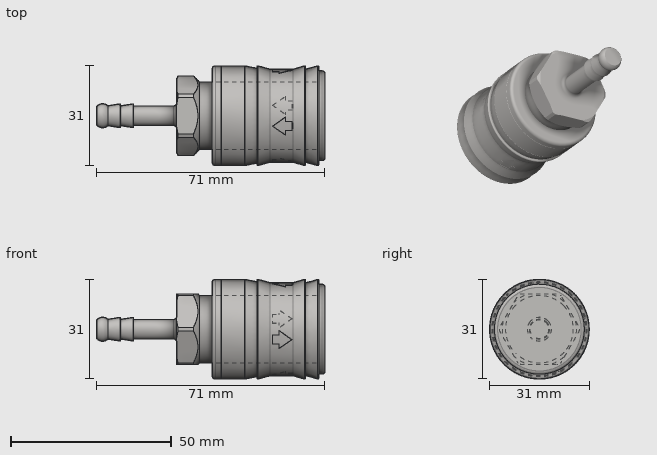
import cadquery as cq
import math


total_length = 71.0
nut_front = 24.85
nut_back = 31.95
collar_front = 35.85
label_front = 38.8
grip_front = 46.0
insert_front = 69.0

stem_radius = 6.1 / 2
barb_radius = 3.7
barb_root_radius = 3.1
nose_face_radius = 2.9
nose_radius = 3.75
nose_peak = 1.8
barb_count = 2
first_barb_start = 3.5
barb_length = 3.9
barb_gap = 0.2
barb_land = 0.35
stem_flare = 1.0

nut_sides = 6
nut_flats = 22.0
nut_corners = 24.8
nut_face_diameter = 23.0
nut_front_chamfer = 0.4
shank_radius = 21.0 / 2

sleeve_radius = 31.0 / 2
waist_radius = 29.0 / 2
edge_round = 1.0
rim_round = 0.35
seam_chamfer = 0.1

rear_rim = 49.8
waist_start = 53.8
waist_end = 61.05
middle_rim = 64.9
rear_valley_radius = 14.8

insert_radius = 28.0 / 2

arrow_count = 4
arrow_length = 5.95
arrow_head_length = 4.05
arrow_half_width = 2.9
arrow_tail_half_width = 1.4
arrow_middle = 57.65
arrow_depth = 0.1
arrow_turn = 13.0


def revolve_about_x(profile):
    """Spin a closed (x, radius) outline about the X axis."""
    return profile.close().revolve(360, (0, 0, 0), (1, 0, 0))


def disc_about_x(x_start, length, radius):
    """Plain solid cylinder along X."""
    return cq.Workplane("YZ", origin=(x_start, 0, 0)).circle(radius).extrude(length)


def ring_about_x(x_start, length, outer_radius, inner_radius):
    """Plain tube along X."""
    section = cq.Workplane("YZ", origin=(x_start, 0, 0)).circle(outer_radius).circle(inner_radius)
    return section.extrude(length)


def quarter_arc_middle(center_x, center_radius, round_radius, direction):
    """Point halfway round an outer edge; direction is -1 for a front edge, +1 for a back edge."""
    reach = round_radius * math.sqrt(0.5)
    return (center_x + direction * reach, center_radius + reach)


def make_hose_tail():
    """Rounded nose, two barbs, and a stem flaring out into the nut face."""
    profile = cq.Workplane("XY").lineTo(0, nose_face_radius)
    profile = profile.threePointArc((nose_peak, nose_radius), (first_barb_start, barb_root_radius))
    last_barb = barb_count - 1
    for index in range(barb_count):
        barb_start = first_barb_start + index * (barb_length + barb_gap)
        barb_end = barb_start + barb_length
        if index > 0:
            profile = profile.lineTo(barb_start, barb_root_radius)
        profile = profile.lineTo(barb_end - barb_land, barb_radius)
        profile = profile.lineTo(barb_end, barb_radius)
        profile = profile.lineTo(barb_end, stem_radius if index == last_barb else barb_root_radius)
    flare_start = nut_front - stem_flare
    profile = profile.lineTo(flare_start, stem_radius)
    flare_reach = stem_flare * math.sqrt(0.5)
    profile = profile.threePointArc(
        (flare_start + flare_reach, stem_radius + stem_flare - flare_reach),
        (nut_front, stem_radius + stem_flare),
    )
    return revolve_about_x(profile.lineTo(nut_front, 0))


def make_nut():
    """Hexagon with corners on +Y and -Y, turned down at both ends."""
    corner_radius = nut_corners / 2
    hexagon = (
        cq.Workplane("YZ", origin=(nut_front, 0, 0))
        .polygon(nut_sides, nut_flats / math.cos(math.pi / nut_sides))
        .extrude(nut_back - nut_front)
    )
    turned_blank = revolve_about_x(
        cq.Workplane("XY")
        .moveTo(nut_front, 0)
        .lineTo(nut_front, nut_face_diameter / 2)
        .lineTo(nut_front + nut_front_chamfer, corner_radius)
        .lineTo(nut_back - (corner_radius - shank_radius), corner_radius)
        .lineTo(nut_back, shank_radius)
        .lineTo(nut_back, 0)
    )
    return hexagon.intersect(turned_blank)


def make_nipple():
    """Hose tail, nut, and the shank that carries the sleeves and meets the insert."""
    shank = disc_about_x(nut_back, insert_front - nut_back, shank_radius)
    return make_hose_tail().union(make_nut()).union(shank)


def make_collar():
    """Ring with a rounded front edge."""
    collar = ring_about_x(collar_front, label_front - collar_front, sleeve_radius, shank_radius)
    collar = collar.faces("<X").edges(cq.selectors.RadiusNthSelector(-1)).fillet(edge_round)
    return collar.faces(">X").edges(cq.selectors.RadiusNthSelector(-1)).chamfer(seam_chamfer)


def make_label_sleeve():
    """Plain ring with both outer edges broken."""
    sleeve = ring_about_x(label_front, grip_front - label_front, sleeve_radius, shank_radius)
    return sleeve.faces("<X or >X").edges(cq.selectors.RadiusNthSelector(-1)).chamfer(seam_chamfer)


def make_arrow_recess(turn, points_forward):
    """Curved arrow-shaped recess in the waist, turned about X from the +Z side."""
    direction = -1 if points_forward else 1
    tip = direction * arrow_length / 2
    head_base = tip - direction * arrow_head_length
    arrow = (
        cq.Workplane("XY", origin=(arrow_middle, 0, 0))
        .moveTo(tip, 0)
        .lineTo(head_base, arrow_half_width)
        .lineTo(head_base, arrow_tail_half_width)
        .lineTo(-tip, arrow_tail_half_width)
        .lineTo(-tip, -arrow_tail_half_width)
        .lineTo(head_base, -arrow_tail_half_width)
        .lineTo(head_base, -arrow_half_width)
        .close()
        .extrude(sleeve_radius)
        .rotate((0, 0, 0), (1, 0, 0), turn)
    )
    skin = ring_about_x(waist_start, waist_end - waist_start, sleeve_radius, waist_radius - arrow_depth)
    return arrow.intersect(skin)


def make_grip_sleeve():
    """Waisted sleeve with three raised rims, and arrows that alternate round the waist."""
    rim_center_radius = sleeve_radius - rim_round
    profile = (
        cq.Workplane("XY")
        .moveTo(grip_front, shank_radius)
        .lineTo(grip_front, sleeve_radius)
        .lineTo(rear_rim, rear_valley_radius)
        .lineTo(rear_rim, rim_center_radius)
        .threePointArc(
            quarter_arc_middle(rear_rim + rim_round, rim_center_radius, rim_round, -1),
            (rear_rim + rim_round, sleeve_radius),
        )
        .lineTo(waist_start, waist_radius)
        .lineTo(waist_end, waist_radius)
    )
    for rim, foot_radius in ((middle_rim, waist_radius), (insert_front, shank_radius)):
        profile = (
            profile.lineTo(rim - rim_round, sleeve_radius)
            .threePointArc(
                quarter_arc_middle(rim - rim_round, rim_center_radius, rim_round, 1),
                (rim, rim_center_radius),
            )
            .lineTo(rim, foot_radius)
        )
    grip = revolve_about_x(profile)
    for index in range(arrow_count):
        turn = arrow_turn + index * 360 / arrow_count
        grip = grip.cut(make_arrow_recess(turn, index % 2 == 0))
    return grip


def make_insert():
    """End disc with a rounded back edge."""
    insert = disc_about_x(insert_front, total_length - insert_front, insert_radius)
    return insert.faces(">X").edges().fillet(edge_round)


nipple = make_nipple()
collar = make_collar()
label_sleeve = make_label_sleeve()
grip_sleeve = make_grip_sleeve()
insert = make_insert()

result = cq.Compound.makeCompound(
    [nipple.val(), collar.val(), label_sleeve.val(), grip_sleeve.val(), insert.val()]
)